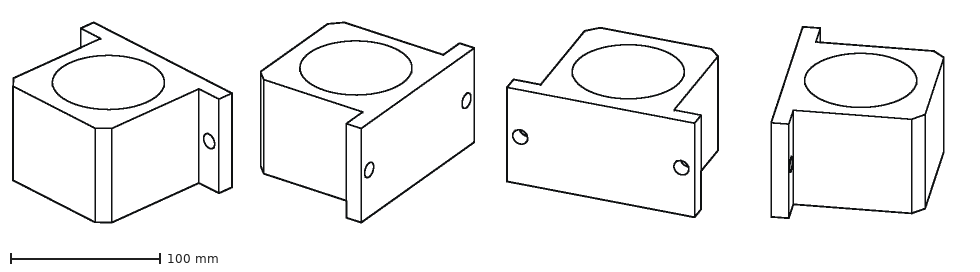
import cadquery as cq

flange_width = 135.0
depth = 100.0
height = 72.0

flange_thickness = 12.0
block_width = 96.0
corner_chamfer = 8.0
bore_diameter = 75.0
mount_hole_diameter = 10.7
mount_hole_spacing = 116.0

back_y = depth / 2


def make_block():
    """Block around the bore, with its two front vertical edges chamfered."""
    block = cq.Workplane("XY").box(block_width, depth, height)
    return block.faces("<Y").edges("|Z").chamfer(corner_chamfer)


def make_flange():
    """Mounting plate flush with the back of the block."""
    plate = cq.Workplane("XY").box(flange_width, flange_thickness, height)
    return plate.translate((0, back_y - flange_thickness / 2, 0))


def make_bore():
    """Vertical cylinder that opens the block from top to bottom."""
    return cq.Workplane("XY").circle(bore_diameter / 2).extrude(height / 2, both=True)


def make_mount_holes():
    """One cylinder through each wing of the flange, at mid height."""
    return (
        cq.Workplane("XZ", origin=(0, back_y, 0))
        .pushPoints([(side * mount_hole_spacing / 2, 0) for side in (-1, 1)])
        .circle(mount_hole_diameter / 2)
        .extrude(flange_thickness)
    )


result = make_block().union(make_flange()).cut(make_bore()).cut(make_mount_holes())